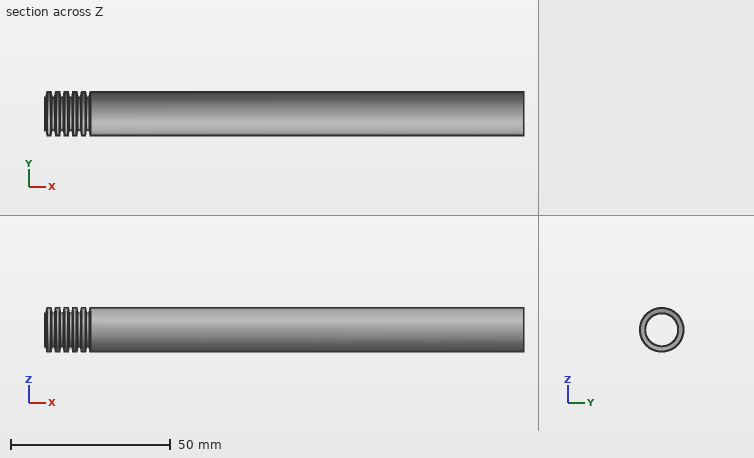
import cadquery as cq
import math


length = 150.0
outer_diameter = 14.0
root_diameter = 10.6
wall = 0.3
pitch = 2.7
groove_mouth_width = 1.4
groove_floor_width = 0.8
ridge_count = 5

crest_radius = outer_diameter / 2
root_radius = root_diameter / 2
flank_run = (groove_mouth_width - groove_floor_width) / 2
flank_angle = math.atan2(flank_run, crest_radius - root_radius)


def tube_body(offset):
    """Grooved solid of revolution; a positive offset moves its surface inward by that amount."""
    crest = crest_radius - offset
    root = root_radius - offset
    widening = offset * (1 / math.cos(flank_angle) - math.tan(flank_angle))
    half_mouth = groove_mouth_width / 2 + widening
    half_floor = groove_floor_width / 2 + widening

    points = [(0, 0), (0, root), (half_floor, root), (half_mouth, crest)]
    for index in range(1, ridge_count + 1):
        center = index * pitch
        points += [
            (center - half_mouth, crest),
            (center - half_floor, root),
            (center + half_floor, root),
            (center + half_mouth, crest),
        ]
    points += [(length, crest), (length, 0)]
    return cq.Workplane("XY").polyline(points).close().revolve(360, (0, 0, 0), (1, 0, 0))


result = tube_body(0).cut(tube_body(wall)).translate((-length / 2, 0, 0))